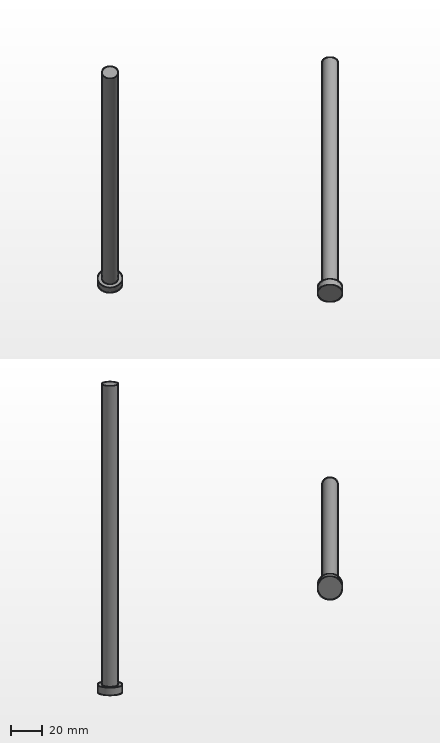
import cadquery as cq

total_length = 205.0
head_diameter = 16.0
head_height = 5.1
shank_diameter = 10.5

head = cq.Workplane("XY").circle(head_diameter / 2).extrude(head_height)
shank = cq.Workplane("XY").circle(shank_diameter / 2).extrude(total_length)

result = head.union(shank)